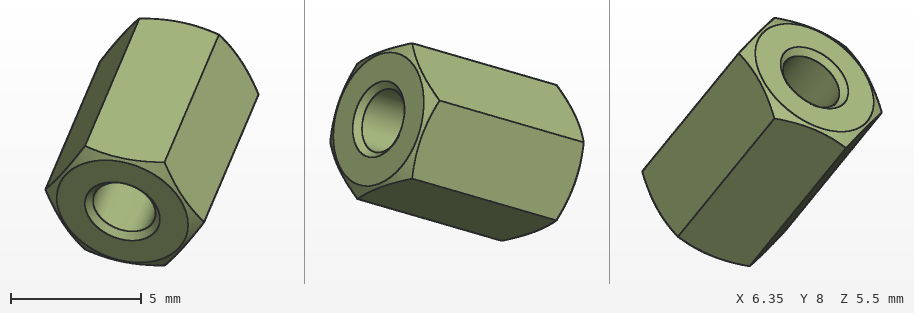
import cadquery as cq
import math

across_flats = 5.5
length = 8.0
bore_diameter = 2.5
countersink_diameter = 3.0
countersink_angle = 45.0
end_face_diameter = 5.25
chamfer_angle = 30.0
corner_clearance = 1.0

hexagon_half_angle = 30.0
across_corners = across_flats / math.cos(math.radians(hexagon_half_angle))
half_length = length / 2


def hex_bar():
    """Hexagonal bar centred on the origin, corners on +X and -X."""
    return cq.Workplane("XZ").polygon(6, across_corners).extrude(half_length, both=True)


def turned_body(end_radius, middle_radius, cone_angle):
    """Round body along Y whose radius runs conically from each end to a straight middle."""
    cone_height = abs(middle_radius - end_radius) * math.tan(math.radians(cone_angle))
    shoulder = half_length - cone_height
    return (
        cq.Workplane("XY")
        .moveTo(0, -half_length)
        .lineTo(end_radius, -half_length)
        .lineTo(middle_radius, -shoulder)
        .lineTo(middle_radius, shoulder)
        .lineTo(end_radius, half_length)
        .lineTo(0, half_length)
        .close()
        .revolve(360, (0, 0, 0), (0, 1, 0))
    )


def chamfer_envelope():
    """Body whose conical ends trim the hexagon corners."""
    return turned_body(end_face_diameter / 2, across_corners / 2 + corner_clearance, chamfer_angle)


def countersunk_bore():
    """Through bore with a countersink at each end, as a solid to remove."""
    return turned_body(countersink_diameter / 2, bore_diameter / 2, countersink_angle)


result = hex_bar().intersect(chamfer_envelope()).cut(countersunk_bore())